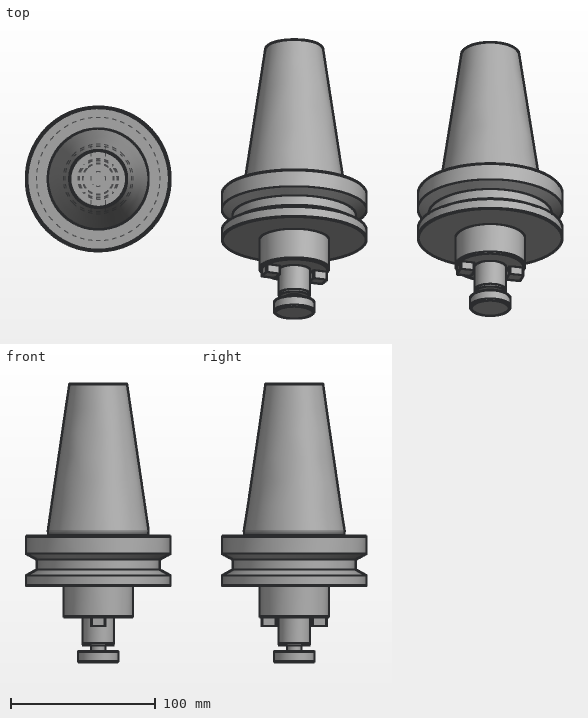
import cadquery as cq

overall_height = 192.8
head_top = 8.1
pilot_bottom = 12.0
key_bottom = 25.3
hub_bottom = 31.0
flange_bottom = 53.0
lower_rim_top = 60.2
groove_bottom = 64.2
groove_top = 71.1
upper_rim_bottom = 75.2
flange_top = 88.0
neck_cone_bottom = 89.7
neck_flare_top = 88.5
gauge_line = 91.0

head_radius = 14.0
shank_radius = 10.2 / 2
pilot_radius = 11.0
hub_radius = 24.1
flange_radius = 100.0 / 2
groove_radius = 42.6
neck_radius = 34.7
gauge_radius = 34.9
taper_ratio = 7 / 24
tip_radius = gauge_radius - (overall_height - gauge_line) * taper_ratio / 2

edge_chamfer = 1.2
head_top_chamfer = 0.8
pilot_chamfer_radial = 0.5
pilot_chamfer_height = 1.7
flange_bottom_chamfer = 0.5
tip_chamfer = 0.8

key_width = 10.2
key_inner = 12.3
key_embed = 2.0
key_chamfer = 0.8


def make_turned_body():
    """Revolve the half section of the screw, pilot, hub, flange and taper."""
    profile = [
        (0, 0),
        (head_radius - edge_chamfer, 0),
        (head_radius, edge_chamfer),
        (head_radius, head_top - head_top_chamfer),
        (head_radius - head_top_chamfer, head_top),
        (shank_radius, head_top),
        (shank_radius, pilot_bottom),
        (pilot_radius - pilot_chamfer_radial, pilot_bottom),
        (pilot_radius, pilot_bottom + pilot_chamfer_height),
        (pilot_radius, hub_bottom),
        (hub_radius - edge_chamfer, hub_bottom),
        (hub_radius, hub_bottom + edge_chamfer),
        (hub_radius, flange_bottom),
        (flange_radius - flange_bottom_chamfer, flange_bottom),
        (flange_radius, flange_bottom + flange_bottom_chamfer),
        (flange_radius, lower_rim_top),
        (groove_radius, groove_bottom),
        (groove_radius, groove_top),
        (flange_radius, upper_rim_bottom),
        (flange_radius, flange_top - edge_chamfer),
        (flange_radius - edge_chamfer, flange_top),
        (gauge_radius, flange_top),
        (neck_radius, neck_flare_top),
        (neck_radius, neck_cone_bottom),
        (gauge_radius, gauge_line),
        (tip_radius, overall_height - tip_chamfer),
        (tip_radius - tip_chamfer, overall_height),
        (0, overall_height),
    ]
    return cq.Workplane("XZ").polyline(profile).close().revolve(360, (0, 0, 0), (0, 1, 0))


def make_key(side):
    """Square driving key below the hub, on the +Y (side=1) or -Y (side=-1) side."""
    key_center = side * (key_inner + key_width / 2)
    return (
        cq.Workplane("XY", origin=(0, key_center, key_bottom))
        .rect(key_width, key_width)
        .extrude(hub_bottom + key_embed - key_bottom)
        .edges("|Z")
        .chamfer(key_chamfer)
    )


result = make_turned_body()
for side in (-1, 1):
    result = result.union(make_key(side))